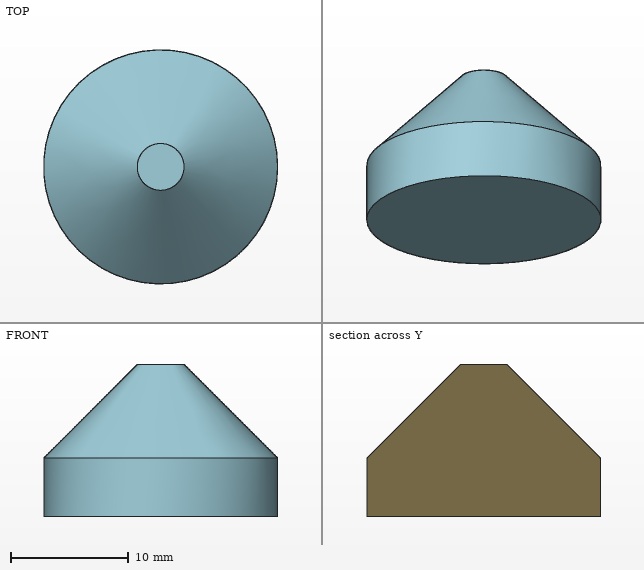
import cadquery as cq

base_diameter = 20.0
base_height = 5.0
tip_diameter = 4.0
total_height = 13.0

base_radius = base_diameter / 2
tip_radius = tip_diameter / 2

half_section = (
    cq.Workplane("XZ")
    .moveTo(0, 0)
    .lineTo(base_radius, 0)
    .lineTo(base_radius, base_height)
    .lineTo(tip_radius, total_height)
    .lineTo(0, total_height)
    .close()
)

result = half_section.revolve(360, (0, 0, 0), (0, 1, 0))